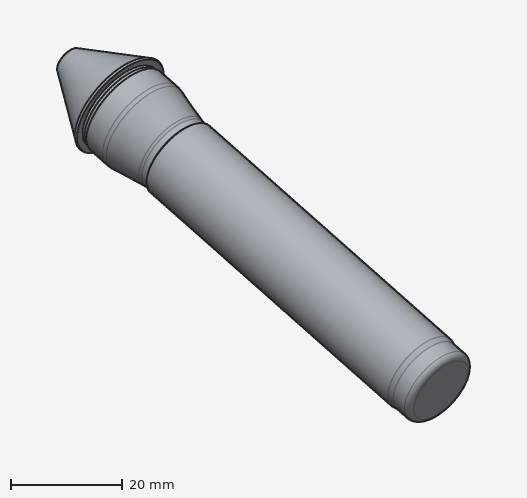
import cadquery as cq

overall_length = 100.0
rim_front_x = 13.3
nose_back_x = 13.9
neck_end_x = 14.5
collar_front_x = 15.3
collar_bend_start_x = 19.6
collar_bend_end_x = 20.5
taper_end_x = 27.6
groove_start_x = 28.2
groove_end_x = 29.6
end_taper_start_x = 94.6
end_land_start_x = 95.8

rim_diameter = 21.2
tip_diameter = 5.7
tip_hole_mouth_diameter = 4.8
tip_hole_floor_diameter = 3.8
neck_diameter = 18.3
collar_diameter = 18.9
barrel_diameter = 16.0
groove_diameter = 15.5

tip_hole_depth = 1.8
rim_edge_diameter = 20.9
taper_end_diameter = 15.8
collar_bend_end_diameter = 18.8
barrel_chamfer = 0.2
end_fillet = 1.2

rim_radius = rim_diameter / 2
rim_edge_radius = rim_edge_diameter / 2
neck_radius = neck_diameter / 2
collar_radius = collar_diameter / 2
barrel_radius = barrel_diameter / 2
groove_radius = groove_diameter / 2
collar_bend_end_radius = collar_bend_end_diameter / 2
taper_end_radius = taper_end_diameter / 2


def revolve_about_x(half_section):
    """Turn a closed half-section, drawn in X and radius, about the X axis."""
    return half_section.close().revolve(360, (0, 0, 0), (1, 0, 0))


def make_nose():
    """Conical nose with a rounded rim and a tapered blind hole in its tip."""
    rim_middle = ((rim_front_x + nose_back_x) / 2, rim_radius)
    half_section = (
        cq.Workplane("XY")
        .moveTo(tip_hole_depth, 0)
        .lineTo(tip_hole_depth, tip_hole_floor_diameter / 2)
        .lineTo(0, tip_hole_mouth_diameter / 2)
        .lineTo(0, tip_diameter / 2)
        .lineTo(rim_front_x, rim_edge_radius)
        .threePointArc(rim_middle, (nose_back_x, rim_edge_radius))
        .lineTo(nose_back_x, 0)
    )
    return revolve_about_x(half_section)


def make_body():
    """Barrel with a tapered collar at the nose end and a reduced, rounded far end."""
    half_section = (
        cq.Workplane("XY")
        .moveTo(nose_back_x, 0)
        .lineTo(nose_back_x, neck_radius)
        .lineTo(neck_end_x, neck_radius)
        .lineTo(collar_front_x, collar_radius)
        .lineTo(collar_bend_start_x, collar_radius)
        .tangentArcPoint((collar_bend_end_x, collar_bend_end_radius), relative=False)
        .lineTo(taper_end_x, taper_end_radius)
        .tangentArcPoint((groove_start_x, groove_radius), relative=False)
        .lineTo(groove_end_x, groove_radius)
        .lineTo(groove_end_x + barrel_chamfer, barrel_radius)
        .lineTo(end_taper_start_x, barrel_radius)
        .lineTo(end_land_start_x, groove_radius)
        .lineTo(overall_length, groove_radius)
        .lineTo(overall_length, 0)
    )
    return revolve_about_x(half_section).faces(">X").edges().fillet(end_fillet)


nose = make_nose()
body = make_body()

result = cq.Compound.makeCompound([nose.val(), body.val()])